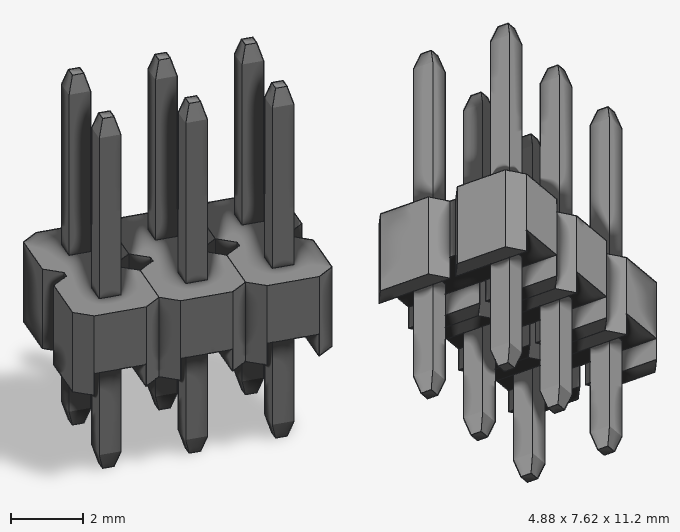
import cadquery as cq

row_count = 3
pins_per_row = 2
header_length = 7.62
header_width = 4.88
pitch = header_length / row_count

block_bottom = 3.0
block_height = 2.54
lobe_width = header_width - pitch
corner_x = 0.38
corner_y = 0.5
channel_depth = 0.7
channel_width = 1.5
neck_width = pitch - 2 * corner_y
neck_height = block_height - channel_depth

pin_length = 11.2
pin_side = 0.64
tip_side = 0.34
tip_length = 0.53

pin_xs = [(i - (pins_per_row - 1) / 2) * pitch for i in range(pins_per_row)]
row_ys = [(i - (row_count - 1) / 2) * pitch for i in range(row_count)]


def make_lobe(x):
    """Eight-sided prism around one pin, filling the row pitch in Y."""
    half_x = lobe_width / 2
    half_y = pitch / 2
    flat_x = half_x - corner_x
    flat_y = half_y - corner_y
    outline = [
        (flat_x, -half_y), (half_x, -flat_y), (half_x, flat_y), (flat_x, half_y),
        (-flat_x, half_y), (-half_x, flat_y), (-half_x, -flat_y), (-flat_x, -half_y),
    ]
    lobe = cq.Workplane("XY").workplane(offset=block_bottom).polyline(outline).close()
    return lobe.extrude(block_height).translate((x, 0, 0))


def make_block():
    """Lobes joined by a neck above the channel that runs along X in the underside."""
    neck_length = pin_xs[-1] - pin_xs[0]
    block = (
        cq.Workplane("XY").workplane(offset=block_bottom + channel_depth)
        .rect(neck_length, neck_width).extrude(neck_height)
    )
    for x in pin_xs:
        block = block.union(make_lobe(x))
    channel = (
        cq.Workplane("XY").workplane(offset=block_bottom)
        .rect(header_width, channel_width).extrude(channel_depth)
    )
    return block.cut(channel)


def make_pin(x):
    """Square pin standing on Z = 0, narrowed towards both ends."""
    shank_length = pin_length - 2 * tip_length
    lower_tip = (
        cq.Workplane("XY").rect(tip_side, tip_side)
        .workplane(offset=tip_length).rect(pin_side, pin_side).loft(ruled=True)
    )
    shank = (
        cq.Workplane("XY").workplane(offset=tip_length)
        .rect(pin_side, pin_side).extrude(shank_length)
    )
    upper_tip = lower_tip.mirror("XY").translate((0, 0, pin_length))
    return shank.union(lower_tip).union(upper_tip).translate((x, 0, 0))


def make_header_row(y):
    """One body: the block of a row with its pins."""
    row = make_block()
    for x in pin_xs:
        row = row.union(make_pin(x))
    return row.translate((0, y, 0))


header_rows = [make_header_row(y) for y in row_ys]

result = cq.Compound.makeCompound([row.solids().val() for row in header_rows])